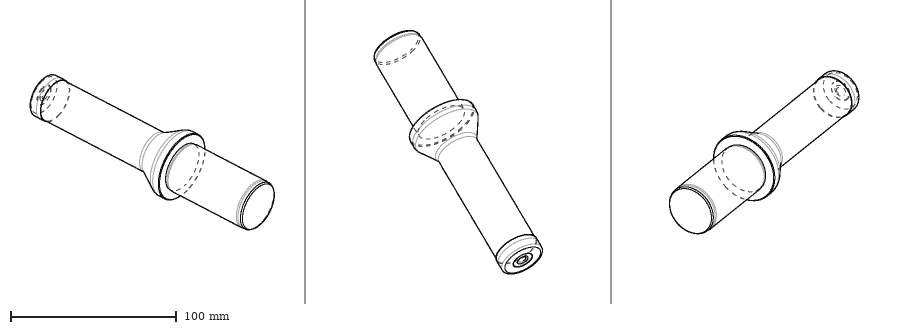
import cadquery as cq
import math

TOTAL_LENGTH = 169.0
HEAD_LENGTH = 8.8
HEAD_CREST_X = 5.7
FLANGE_CONE_X = 104.1
FLANGE_BACK_X = 109.0
NECK_LENGTH = 1.2
NECK_TAPER = 1.0
END_BAND_LENGTH = 3.0
END_CHAMFER = 1.0
END_CHAMFER_DEPTH = 0.7
FLANGE_CHAMFER = 0.5

SHANK_RADIUS = 26.9 / 2
HEAD_RADIUS = 27.7 / 2
HEAD_CREST_RADIUS = 27.9 / 2
FLANGE_RADIUS = 44.0 / 2
NECK_RADIUS = 31.5 / 2
SHAFT_RADIUS = 32.0 / 2

FLARE_ANGLE = math.radians(30)
FLARE_BLEND = 5.0
BLEND_RUN = FLARE_BLEND * math.sin(FLARE_ANGLE)
BLEND_RISE = FLARE_BLEND * (1 - math.cos(FLARE_ANGLE))
BLEND_MID_RUN = FLARE_BLEND * math.sin(FLARE_ANGLE / 2)
BLEND_MID_RISE = FLARE_BLEND * (1 - math.cos(FLARE_ANGLE / 2))
CONE_RISE = FLANGE_RADIUS - SHANK_RADIUS - 2 * BLEND_RISE
FLARE_START_X = FLANGE_CONE_X - 2 * BLEND_RUN - CONE_RISE / math.tan(FLARE_ANGLE)

FACE_RADIUS = 12.2
FACE_DROP = 0.2
CORNER_LENGTH = 1.2
CORNER_MID_X = 0.42
CORNER_MID_RADIUS = 13.5
RECESS_RADIUS = 6.6
RECESS_FLOOR_RADIUS = 6.3
RECESS_DEPTH = 0.2
DISH_RADIUS = 3.7
DISH_STEP_RADIUS = 3.2
DISH_FLOOR_RADIUS = 2.4
DISH_STEP_DEPTH = 0.3
DISH_FLOOR_DEPTH = 0.7
DISH_APEX_DEPTH = 0.8


def revolve_about_x(profile):
    return profile.close().revolve(360, (0, 0, 0), (1, 0, 0))


def make_head():
    """Tip tapering slightly both ways from its crest, with a shallow stepped dish in its face."""
    profile = (
        cq.Workplane("XY")
        .moveTo(DISH_APEX_DEPTH, 0)
        .lineTo(DISH_FLOOR_DEPTH, DISH_FLOOR_RADIUS)
        .lineTo(DISH_STEP_DEPTH, DISH_STEP_RADIUS)
        .lineTo(RECESS_DEPTH, DISH_RADIUS)
        .lineTo(RECESS_DEPTH, RECESS_FLOOR_RADIUS)
        .lineTo(0, RECESS_RADIUS)
        .lineTo(FACE_DROP, FACE_RADIUS)
        .threePointArc((CORNER_MID_X, CORNER_MID_RADIUS), (CORNER_LENGTH, HEAD_RADIUS))
        .lineTo(HEAD_CREST_X, HEAD_CREST_RADIUS)
        .lineTo(HEAD_LENGTH, HEAD_RADIUS)
        .lineTo(HEAD_LENGTH, 0)
    )
    return revolve_about_x(profile)


def make_holder():
    """Shank, flared flange and mounting shaft turned as one piece."""
    shaft_x = FLANGE_BACK_X + NECK_LENGTH + NECK_TAPER
    end_band_x = TOTAL_LENGTH - END_BAND_LENGTH
    profile = (
        cq.Workplane("XY")
        .moveTo(HEAD_LENGTH, 0)
        .lineTo(HEAD_LENGTH, SHANK_RADIUS)
        .lineTo(FLARE_START_X, SHANK_RADIUS)
        .threePointArc(
            (FLARE_START_X + BLEND_MID_RUN, SHANK_RADIUS + BLEND_MID_RISE),
            (FLARE_START_X + BLEND_RUN, SHANK_RADIUS + BLEND_RISE),
        )
        .lineTo(FLANGE_CONE_X - BLEND_RUN, FLANGE_RADIUS - BLEND_RISE)
        .threePointArc(
            (FLANGE_CONE_X - BLEND_MID_RUN, FLANGE_RADIUS - BLEND_MID_RISE),
            (FLANGE_CONE_X, FLANGE_RADIUS),
        )
        .lineTo(FLANGE_BACK_X - FLANGE_CHAMFER, FLANGE_RADIUS)
        .lineTo(FLANGE_BACK_X, FLANGE_RADIUS - FLANGE_CHAMFER)
        .lineTo(FLANGE_BACK_X, NECK_RADIUS)
        .lineTo(shaft_x - NECK_TAPER, NECK_RADIUS)
        .lineTo(shaft_x, SHAFT_RADIUS)
        .lineTo(end_band_x - NECK_TAPER, SHAFT_RADIUS)
        .lineTo(end_band_x, NECK_RADIUS)
        .lineTo(TOTAL_LENGTH - END_CHAMFER, NECK_RADIUS)
        .lineTo(TOTAL_LENGTH, NECK_RADIUS - END_CHAMFER_DEPTH)
        .lineTo(TOTAL_LENGTH, 0)
    )
    return revolve_about_x(profile)


head = make_head()
holder = make_holder()

result = cq.Compound.makeCompound([head.val(), holder.val()])